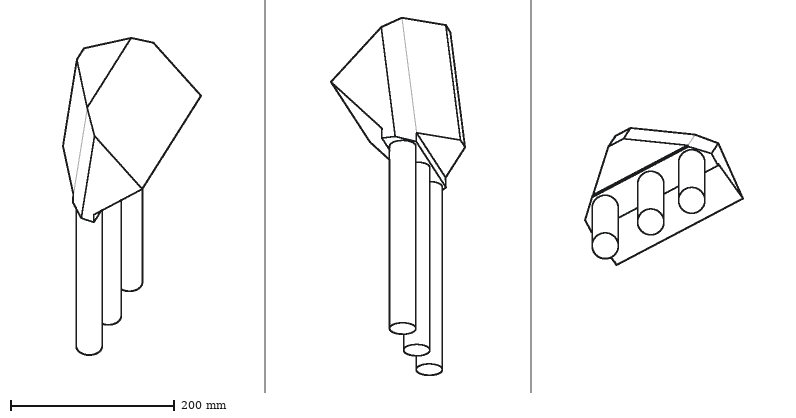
import cadquery as cq
import math


leg_radius = 16.0
leg_places_y = (59.0, -4.2, -61.0)

total_height = 424.5
lean = math.radians(6.7)
head_bottom = 248.0
nose_left = -63.0
nose_length = 160.0
nose_depth = 43.7
base_left = -19.5
base_right = 18.3
base_top_right = 261.0
ridge_x = 83.2
ridge_z = 333.0

width = 176.0
knee_half_width = 66.0
nose_back_y = 21.2
nose_front_y = 0.0
corner_depth = width / 2 - knee_half_width
section_rear = 170.0
prism_length = 424.5


def make_profile_body():
    """Side profile of the head, extruded over its full width."""
    along_x = math.sin(lean)
    along_z = math.cos(lean)
    nose_top = (nose_left + nose_length * along_x, total_height)
    nose_bottom = (nose_left, total_height - nose_length * along_z)
    knee_top = (nose_top[0] + nose_depth * along_z, nose_top[1] - nose_depth * along_x)
    base_rise = (base_left - nose_left) * math.tan(lean)
    points = [
        nose_top,
        knee_top,
        (ridge_x, ridge_z),
        (base_right, base_top_right),
        (base_right, head_bottom),
        (base_left, head_bottom),
        (base_left, nose_bottom[1] - base_rise),
        nose_bottom,
    ]
    return cq.Workplane("XZ").polyline(points).close().extrude(width / 2, both=True)


def make_leaning_prism():
    """Faceted cross-section swept along the lean, with its nose edge on the head's nose."""
    nose_bottom_z = total_height - nose_length * math.cos(lean)
    plane = cq.Plane(
        origin=(nose_left, 0, nose_bottom_z),
        xDir=(math.cos(lean), 0, -math.sin(lean)),
        normal=(math.sin(lean), 0, math.cos(lean)),
    )
    corner_x = nose_depth + corner_depth
    points = [
        (0, nose_front_y),
        (nose_depth, -knee_half_width),
        (corner_x, -width / 2),
        (section_rear, -width / 2),
        (section_rear, width / 2),
        (corner_x, width / 2),
        (nose_depth, knee_half_width),
        (0, nose_back_y),
    ]
    return cq.Workplane(plane).polyline(points).close().extrude(prism_length, both=True)


def make_legs():
    places = [(0, y) for y in leg_places_y]
    return cq.Workplane("XY").pushPoints(places).circle(leg_radius).extrude(head_bottom)


head = make_profile_body().intersect(make_leaning_prism())
result = head.union(make_legs())